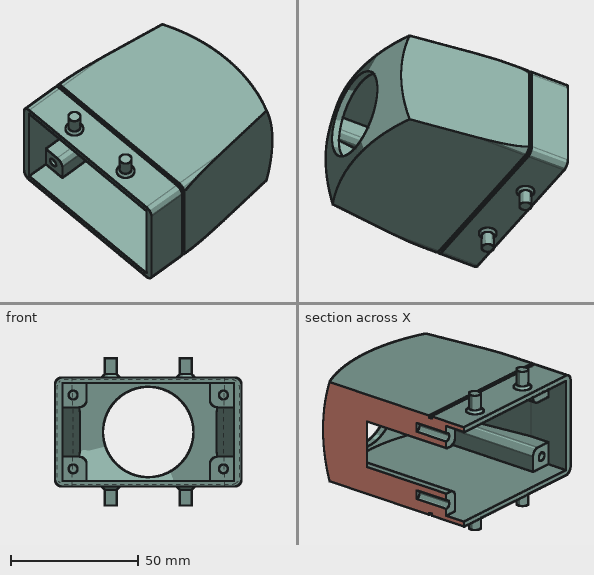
import cadquery as cq
import math

width = 73.5
height = 43.0
length = 75.6
corner_radius = 3.0
side_wall = 3.0
flat_wall = 2.3
end_wall = 3.0

groove_start = 16.4
groove_end = 17.7
groove_depth = 0.9

taper_end_half_width = 29.6
taper_end_y = 72.0
dome_radius = 76.4
entry_diameter = 35.5

post_size = 9.5
post_corner_radius = 3.0
post_start = 8.9
screw_hole_diameter = 3.5
screw_hole_depth = 15.1
screw_x = 29.6
screw_z = 14.5

pin_diameter = 4.8
pin_span = 58.0
pin_x = 14.75
pin_y = 6.6
flare_diameter = 7.0
flare_height = 1.2

half_width = width / 2
half_height = height / 2
inner_half_width = half_width - side_wall
inner_half_height = half_height - flat_wall
taper_slope = (half_width - taper_end_half_width) / (taper_end_y - groove_end)
entry_radius = entry_diameter / 2
dome_centre_y = length - math.sqrt(dome_radius**2 - entry_radius**2)
dome_skirt = length


def bar(size_x, size_z, start, end):
    """Rectangular bar along Y, centred on the Y axis."""
    return (
        cq.Workplane("XZ", origin=(0, start, 0))
        .rect(size_x, size_z)
        .extrude(start - end)
    )


def tapered_block(half_x, half_z):
    """Block with straight sides up to the taper, then leaning inwards."""
    end_half_x = half_x - taper_slope * (length - groove_end)
    return (
        cq.Workplane("XY", origin=(0, 0, -half_z))
        .polyline([
            (-half_x, 0),
            (half_x, 0),
            (half_x, groove_end),
            (end_half_x, length),
            (-end_half_x, length),
            (-half_x, groove_end),
        ])
        .close()
        .extrude(2 * half_z)
    )


def dome(radius):
    """Half ball on a straight skirt, turned about the Y axis."""
    middle = radius * math.sqrt(0.5)
    return (
        cq.Workplane("XY", origin=(0, dome_centre_y, 0))
        .moveTo(0, radius)
        .threePointArc((middle, middle), (radius, 0))
        .lineTo(radius, -dome_skirt)
        .lineTo(0, -dome_skirt)
        .close()
        .revolve(360, (0, 0, 0), (0, 1, 0))
    )


def rounded_bar(inset, start, end):
    """Outer section with rounded corners, shrunk by an inset on each side."""
    section = bar(width - 2 * inset, height - 2 * inset, start, end)
    return section.edges("|Y").fillet(corner_radius)


def make_outside():
    body = tapered_block(half_width, half_height)
    body = body.intersect(rounded_bar(0, 0, length))
    body = body.intersect(dome(dome_radius))
    groove = bar(width, height, groove_start, groove_end)
    groove = groove.cut(rounded_bar(groove_depth, groove_start, groove_end))
    return body.cut(groove)


def make_cavity():
    block = tapered_block(inner_half_width, inner_half_height)
    return block.intersect(dome(dome_radius - end_wall))


def make_post(side_x, side_z):
    """Post reaching from the corner to the domed end, with a screw hole."""
    post = (
        bar(post_size, post_size, post_start, length)
        .translate((
            side_x * (inner_half_width - post_size / 2),
            0,
            side_z * (inner_half_height - post_size / 2),
        ))
    )
    inner_edge = ("<X" if side_x > 0 else ">X") + " and " + ("<Z" if side_z > 0 else ">Z")
    post = post.edges("|Y").edges(inner_edge).fillet(post_corner_radius)
    hole = (
        cq.Workplane("XZ", origin=(side_x * screw_x, post_start, side_z * screw_z))
        .circle(screw_hole_diameter / 2)
        .extrude(-screw_hole_depth)
    )
    return post.cut(hole)


def make_housing():
    cavity = make_cavity()
    for side_x in (-1, 1):
        for side_z in (-1, 1):
            cavity = cavity.cut(make_post(side_x, side_z))
    entry = (
        cq.Workplane("XZ", origin=(0, length / 2, 0))
        .circle(entry_radius)
        .extrude(-length)
    )
    return make_outside().cut(cavity).cut(entry)


def make_pin(x, side_z):
    """Pin standing on a flat wall, its foot flaring out in a cone."""
    radius = pin_diameter / 2
    tip = pin_span / 2 - half_height
    pin = (
        cq.Workplane("XZ")
        .moveTo(0, 0)
        .lineTo(flare_diameter / 2, 0)
        .lineTo(radius, flare_height)
        .lineTo(radius, tip)
        .lineTo(0, tip)
        .close()
        .revolve(360, (0, 0, 0), (0, 1, 0))
    )
    if side_z < 0:
        pin = pin.mirror("XY")
    return pin.translate((x, pin_y, side_z * half_height))


housing = make_housing()
pins = [make_pin(x, side_z) for x in (-pin_x, pin_x) for side_z in (-1, 1)]

result = cq.Compound.makeCompound([housing.val(), *[pin.val() for pin in pins]])